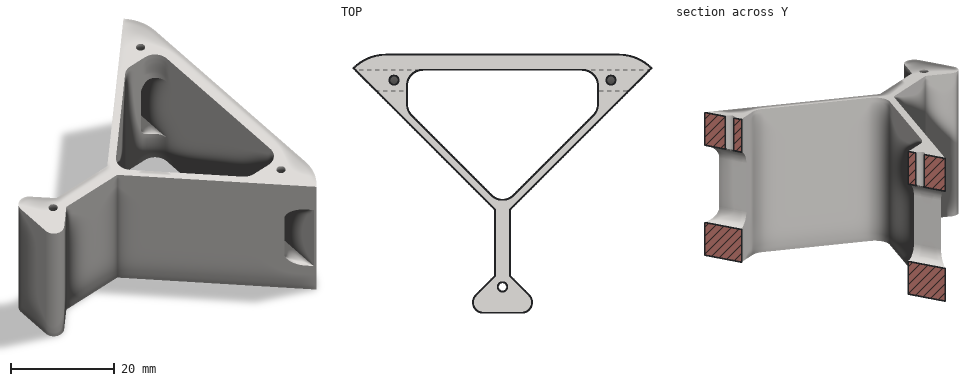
import cadquery as cq
import math

width = 57.7
depth = 50.0
height = 29.6

tip_arc_radius = 9.0
stem_width = 3.0
foot_top_y = -42.9
foot_radius = 2.0

back_wall = 3.0
diagonal_wall = 1.5
cavity_width = 36.9
cavity_radius = 3.0

opening_depth = 4.05
opening_height = 16.15
opening_radius = 3.0

hole_diameter = 1.8
frame_hole_x = 21.0
frame_hole_y = -4.95
foot_hole_y = -45.0
hole_skin = 0.2

half_width = width / 2
half_stem = stem_width / 2
half_cavity = cavity_width / 2
arc_run = tip_arc_radius * math.sin(math.radians(45))
arc_drop = tip_arc_radius - arc_run
arc_mid_run = tip_arc_radius * math.sin(math.radians(22.5))
arc_mid_drop = tip_arc_radius * (1 - math.cos(math.radians(22.5)))
arc_start_x = half_width - arc_run
neck_y = -arc_drop - (half_width - half_stem)
foot_corner_x = half_stem + foot_top_y + depth
cavity_apex_y = -arc_drop - half_width + diagonal_wall * math.sqrt(2)
mid_z = height / 2


def make_body():
    """Full-height outline with rounded back corners and a rounded foot."""
    body = (
        cq.Workplane("XY")
        .moveTo(-arc_start_x, 0)
        .lineTo(arc_start_x, 0)
        .threePointArc((arc_start_x + arc_mid_run, -arc_mid_drop), (half_width, -arc_drop))
        .lineTo(half_stem, neck_y)
        .lineTo(half_stem, foot_top_y)
        .lineTo(foot_corner_x, -depth)
        .lineTo(-foot_corner_x, -depth)
        .lineTo(-half_stem, foot_top_y)
        .lineTo(-half_stem, neck_y)
        .lineTo(-half_width, -arc_drop)
        .threePointArc((-arc_start_x - arc_mid_run, -arc_mid_drop), (-arc_start_x, 0))
        .close()
        .extrude(height)
    )
    return body.edges("|Z and <Y").fillet(foot_radius)


def make_cavity():
    """Five-sided opening through the frame with all corners rounded."""
    side_end_y = cavity_apex_y + half_cavity
    outline = [
        (-half_cavity, -back_wall),
        (half_cavity, -back_wall),
        (half_cavity, side_end_y),
        (0, cavity_apex_y),
        (-half_cavity, side_end_y),
    ]
    return cq.Workplane("XY").polyline(outline).close().extrude(height).edges("|Z").fillet(cavity_radius)


def make_side_openings(growth=0.0):
    """D-shaped passage along X through both frame corners, grown outward by the given amount."""
    return (
        cq.Workplane("XY")
        .box(width, opening_depth + 2 * growth, opening_height + 2 * growth)
        .translate((0, -back_wall - opening_depth / 2, mid_z))
        .edges("|X and <Y")
        .fillet(opening_radius + growth)
    )


def make_frame_holes():
    """Blind holes from the top face, ending on a thin curved web over the side openings."""
    holes = (
        cq.Workplane("XY", origin=(0, 0, mid_z))
        .pushPoints([(side * frame_hole_x, frame_hole_y) for side in (-1, 1)])
        .circle(hole_diameter / 2)
        .extrude(height - mid_z)
    )
    return holes.cut(make_side_openings(hole_skin))


def make_foot_hole():
    """Through hole in the foot."""
    return cq.Workplane("XY").center(0, foot_hole_y).circle(hole_diameter / 2).extrude(height)


result = (
    make_body()
    .cut(make_cavity())
    .cut(make_side_openings())
    .cut(make_frame_holes())
    .cut(make_foot_hole())
)